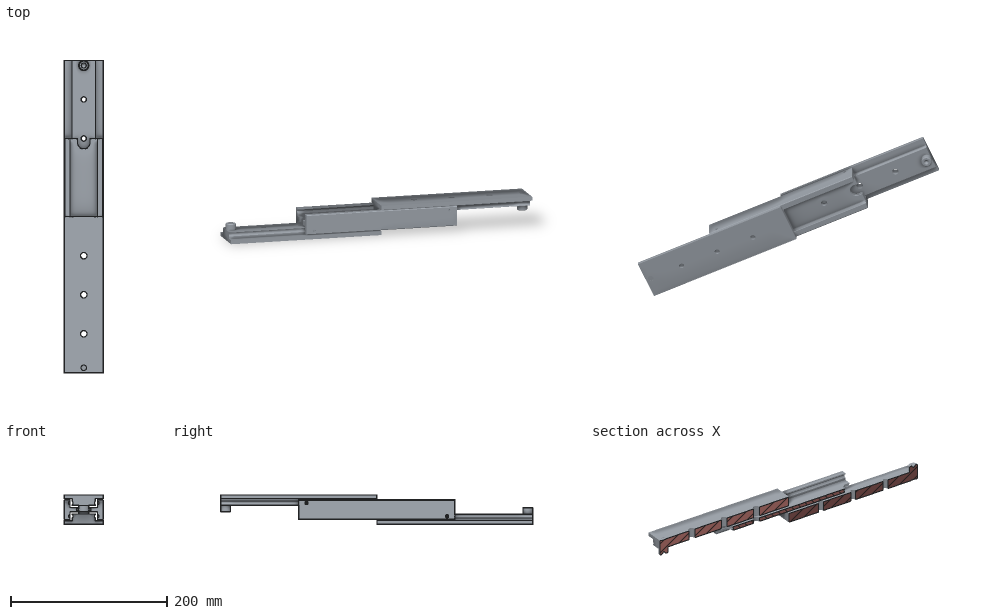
import cadquery as cq


WIDTH = 50.0
HEIGHT = 38.0
LENGTH = 200.0

PLATE_THICKNESS = 5.0
HEAD_HALF_WIDTH = 15.0
HEAD_Z = 5.5
PLATE_Z = HEIGHT / 2 - PLATE_THICKNESS

MEMBER_HALF_HEIGHT = 12.8
CHANNEL_HALF_WIDTH = 17.6
MEMBER_EDGE_CHAMFER = 0.8
WEB_HALF_THICKNESS = 2.9

RACEWAY_Z = 8.5
RACEWAY_HALF_WIDTH = 2.5
RAIL_RACEWAY_DEPTH = 1.2
MEMBER_RACEWAY_DEPTH = 2.2
RACEWAY_BULGE = 0.2

HOLE_PITCH = 50.0
HOLE_COUNT = 3
UPPER_HOLE_DIAMETER = 8.0
LOWER_HOLE_DIAMETER = 6.5

STUD_DIAMETER = 13.0
STUD_LENGTH = 8.4
STUD_CHAMFER = 0.8
STUD_INSET = STUD_DIAMETER / 2
STUD_SOCKET_DIAMETER = 6.5
STUD_SOCKET_DEPTH = STUD_SOCKET_DIAMETER / 2
STUD_RECESS_DIAMETER = 7.0
STUD_RECESS_DEPTH = 0.5

NOTCH_RADIUS = 8.0
NOTCH_CENTER_INSET = 5.0
NOTCH_GROOVE_DEPTH = 1.0
NOTCH_GROOVE_HEIGHT = 2.4

PIN_DIAMETER = 4.25
PIN_INSET = 10.0
PIN_RECESS_DEPTH = 0.5
PIN_SOCKET_DIAMETER = 2.0
PIN_SOCKET_DEPTH = 2.0


def box(x_size, y_range, z_range):
    y0, y1 = y_range
    z0, z1 = z_range
    return cq.Workplane("XY").box(x_size, y1 - y0, z1 - z0).translate((0, (y0 + y1) / 2, (z0 + z1) / 2))


def raceway(side, wall_x, direction, depth, y_start):
    """Groove cutter on a wall at side * wall_x that deepens along side * direction."""
    def at(x_depth, z):
        return (side * (wall_x + direction * x_depth), z)

    low = RACEWAY_Z - RACEWAY_HALF_WIDTH
    high = RACEWAY_Z + RACEWAY_HALF_WIDTH
    quarter = RACEWAY_HALF_WIDTH / 2
    mid_depth = depth / 2 + RACEWAY_BULGE
    return (
        cq.Workplane("XZ", origin=(0, y_start, 0))
        .moveTo(*at(0, low))
        .threePointArc(at(mid_depth, RACEWAY_Z - quarter - RACEWAY_BULGE), at(depth, RACEWAY_Z))
        .threePointArc(at(mid_depth, RACEWAY_Z + quarter + RACEWAY_BULGE), at(0, high))
        .close()
        .extrude(-LENGTH)
    )


def cylinder(diameter, y, z0, z1):
    return cq.Workplane("XY", origin=(0, y, z0)).circle(diameter / 2).extrude(z1 - z0)


def half_turn(shape):
    """Turn a shape half way round about the X axis, from the upper place to the lower."""
    return shape.rotate((0, 0, 0), (1, 0, 0), 180)


def make_upper_rail(hole_diameter):
    """Rail with its stop stud, in the upper place; mounting holes have the given diameter."""
    y_end = -LENGTH
    rail = box(WIDTH, (y_end, 0), (PLATE_Z, HEIGHT / 2))
    rail = rail.union(box(2 * HEAD_HALF_WIDTH, (y_end, 0), (HEAD_Z, PLATE_Z)))
    for side in (-1, 1):
        rail = rail.cut(raceway(side, HEAD_HALF_WIDTH, -1, RAIL_RACEWAY_DEPTH, y_end))

    for i in range(HOLE_COUNT):
        rail = rail.cut(cylinder(hole_diameter, y_end + (i + 1) * HOLE_PITCH, HEAD_Z, HEIGHT / 2))

    stud_y = y_end + STUD_INSET
    stud_tip_z = HEAD_Z - STUD_LENGTH
    stud = cylinder(STUD_DIAMETER, stud_y, stud_tip_z, HEAD_Z).faces("<Z").chamfer(STUD_CHAMFER)
    tip_center = cq.Vector(0, stud_y, stud_tip_z)
    upward = cq.Vector(0, 0, 1)
    socket_cone = cq.Solid.makeCone(STUD_SOCKET_DIAMETER / 2, 0, STUD_SOCKET_DEPTH, tip_center, upward)
    socket = cq.Workplane(socket_cone)
    recess = cylinder(STUD_RECESS_DIAMETER, stud_y, HEIGHT / 2 - STUD_RECESS_DEPTH, HEIGHT / 2)
    return rail.union(stud).cut(socket).cut(recess)


def make_notch():
    """Round-ended notch at the -Y end of the web, with a groove along its wall."""
    y_end = -LENGTH / 2

    def slot(radius, half_height):
        center_y = y_end + NOTCH_CENTER_INSET
        round_end = cylinder(2 * radius, center_y, -half_height, half_height)
        return round_end.union(box(2 * radius, (y_end - radius, center_y), (-half_height, half_height)))

    groove = slot(NOTCH_RADIUS + NOTCH_GROOVE_DEPTH, NOTCH_GROOVE_HEIGHT / 2)
    return slot(NOTCH_RADIUS, WEB_HALF_THICKNESS).union(groove)


def make_pin(side):
    """Upper stop pin near the -Y end of the member, and the hollow in its outer end."""
    pin_y = -LENGTH / 2 + PIN_INSET

    def disc(diameter, x, length):
        face = cq.Workplane("YZ", origin=(side * x, pin_y, RACEWAY_Z))
        return face.circle(diameter / 2).extrude(side * length)

    outer_x = WIDTH / 2
    pin = disc(PIN_DIAMETER, CHANNEL_HALF_WIDTH, outer_x - CHANNEL_HALF_WIDTH)
    recess = disc(PIN_DIAMETER, outer_x, -PIN_RECESS_DEPTH)
    socket = disc(PIN_SOCKET_DIAMETER, outer_x, -PIN_SOCKET_DEPTH)
    return pin, recess.union(socket)


def make_member():
    """H-shaped intermediate member with its stop notches and stop pins."""
    y_end = -LENGTH / 2
    y_range = (y_end, LENGTH / 2)
    member = box(WIDTH, y_range, (-MEMBER_HALF_HEIGHT, MEMBER_HALF_HEIGHT))
    member = member.edges("|Y").chamfer(MEMBER_EDGE_CHAMFER)
    channel = box(2 * CHANNEL_HALF_WIDTH, y_range, (WEB_HALF_THICKNESS, MEMBER_HALF_HEIGHT))
    for side in (-1, 1):
        channel = channel.union(raceway(side, CHANNEL_HALF_WIDTH, 1, MEMBER_RACEWAY_DEPTH, y_end))
    member = member.cut(channel).cut(half_turn(channel))

    notch = make_notch()
    member = member.cut(notch).cut(half_turn(notch))

    access_y = -LENGTH + HOLE_COUNT * HOLE_PITCH
    member = member.cut(cylinder(UPPER_HOLE_DIAMETER, access_y, -WEB_HALF_THICKNESS, WEB_HALF_THICKNESS))

    for side in (-1, 1):
        pin, hollow = make_pin(side)
        member = member.union(pin).union(half_turn(pin))
        member = member.cut(hollow).cut(half_turn(hollow))
    return member


upper_rail = make_upper_rail(UPPER_HOLE_DIAMETER)
lower_rail = half_turn(make_upper_rail(LOWER_HOLE_DIAMETER))
member = make_member()

result = cq.Compound.makeCompound([upper_rail.val(), member.val(), lower_rail.val()])